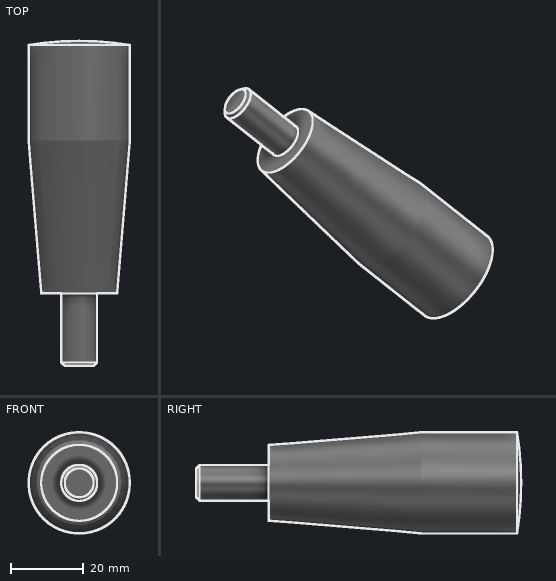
import cadquery as cq

total_length = 89.8
grip_diameter = 28.0
shoulder_diameter = 21.0
stud_diameter = 10.0
stud_length = 20.0
stud_chamfer = 1.0
taper_length = 42.1
dome_height = 1.2

grip_radius = grip_diameter / 2
shoulder_radius = shoulder_diameter / 2
stud_radius = stud_diameter / 2
grip_end = total_length - stud_length
dome_start = grip_end - dome_height

dome_sphere_radius = (grip_radius**2 + dome_height**2) / (2 * dome_height)
dome_mid_radius = grip_radius / 2
dome_centre = grip_end - dome_sphere_radius
dome_mid = dome_centre + (dome_sphere_radius**2 - dome_mid_radius**2) ** 0.5

grip = (
    cq.Workplane("XY")
    .lineTo(shoulder_radius, 0)
    .lineTo(grip_radius, taper_length)
    .lineTo(grip_radius, dome_start)
    .threePointArc((dome_mid_radius, dome_mid), (0, grip_end))
    .close()
    .revolve(360, (0, 0, 0), (0, 1, 0))
)

stud = (
    cq.Workplane("XZ")
    .circle(stud_radius)
    .extrude(stud_length)
    .faces("<Y")
    .chamfer(stud_chamfer)
)

result = grip.union(stud)